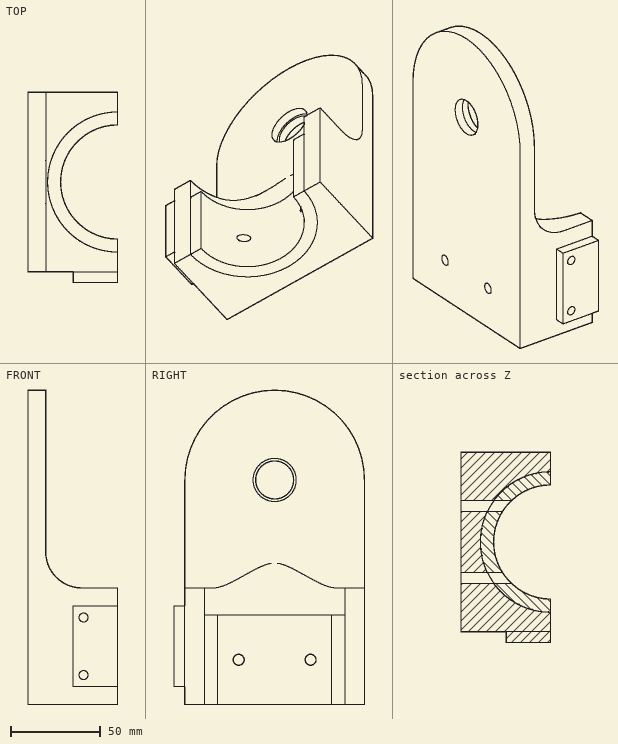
import cadquery as cq

width = 100.0
depth = 50.0
height = 175.0
upright_thickness = 10.0
foot_height = 65.0
foot_fillet = 20.0
top_radius = width / 2

pivot_height = height - top_radius
pivot_diameter = 21.0
pivot_recess_diameter = 24.0
pivot_recess_depth = 5.0

seat_radius = 39.0
liner_bore_radius = 31.7
liner_height = 50.0

liner_screw_diameter = 6.0
liner_screw_spacing = 40.0
liner_screw_height = liner_height / 2

plate_width = 24.75
plate_height = 45.0
plate_thickness = 6.0
plate_bottom = (foot_height - plate_height) / 2
plate_hole_diameter = 5.0
plate_hole_spacing = 32.0
plate_hole_inset = 5.75


def cylinder_along_x(diameter, length, x, y, z):
    return cq.Workplane("YZ", origin=(x, y, z)).circle(diameter / 2).extrude(length)


def liner_screw_holes():
    holes = cq.Workplane("XY")
    for side in (-1, 1):
        y = side * liner_screw_spacing / 2
        holes = holes.add(cylinder_along_x(liner_screw_diameter, depth, 0, y, liner_screw_height))
    return holes.combine()


def half_round(radius, length):
    """Cylinder along Z, centred on the open +X face of the foot."""
    return cq.Workplane("XY").center(depth, 0).circle(radius).extrude(length)


def make_bracket():
    side_profile = (
        cq.Workplane("XZ")
        .lineTo(depth, 0)
        .lineTo(depth, foot_height)
        .lineTo(upright_thickness + foot_fillet, foot_height)
        .radiusArc((upright_thickness, foot_height + foot_fillet), foot_fillet)
        .lineTo(upright_thickness, height)
        .lineTo(0, height)
        .close()
        .extrude(width / 2, both=True)
    )
    face_outline = (
        cq.Workplane("YZ")
        .moveTo(-width / 2, 0)
        .lineTo(width / 2, 0)
        .lineTo(width / 2, pivot_height)
        .threePointArc((0, height), (-width / 2, pivot_height))
        .close()
        .extrude(depth)
    )
    pivot_hole = cylinder_along_x(pivot_diameter, upright_thickness, 0, 0, pivot_height)
    recess_floor = upright_thickness - pivot_recess_depth
    pivot_recess = cylinder_along_x(
        pivot_recess_diameter, pivot_recess_depth, recess_floor, 0, pivot_height
    )
    return (
        side_profile.intersect(face_outline)
        .cut(half_round(seat_radius, height))
        .cut(pivot_hole)
        .cut(pivot_recess)
        .cut(liner_screw_holes())
    )


def make_liner():
    ring = half_round(seat_radius, liner_height).cut(half_round(liner_bore_radius, liner_height))
    inside_foot = cq.Workplane("XY").box(depth, width, liner_height, centered=(False, True, False))
    return ring.intersect(inside_foot).cut(liner_screw_holes())


def make_side_plate():
    left = depth - plate_width
    plate = (
        cq.Workplane("XY")
        .box(plate_width, plate_thickness, plate_height, centered=False)
        .translate((left, -width / 2 - plate_thickness, plate_bottom))
    )
    hole_x = left + plate_hole_inset
    middle = plate_bottom + plate_height / 2
    for side in (-1, 1):
        hole_z = middle + side * plate_hole_spacing / 2
        hole = (
            cq.Workplane("XZ", origin=(hole_x, -width / 2, hole_z))
            .circle(plate_hole_diameter / 2)
            .extrude(plate_thickness)
        )
        plate = plate.cut(hole)
    return plate


bracket = make_bracket()
liner = make_liner()
side_plate = make_side_plate()

result = cq.Compound.makeCompound([bracket.val(), liner.val(), side_plate.val()])